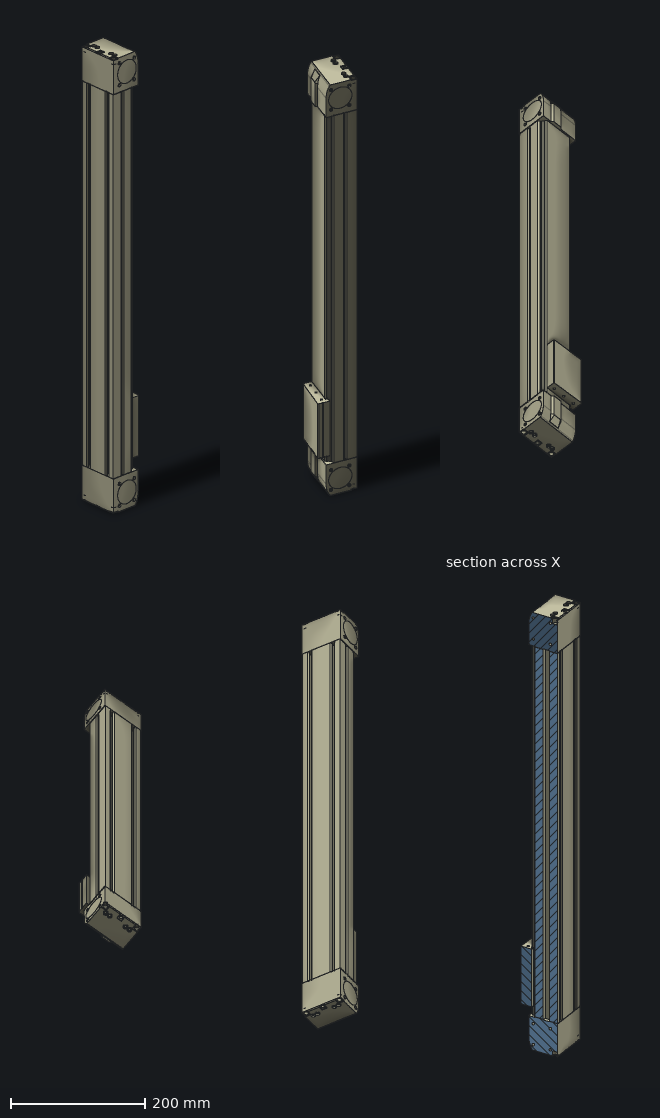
import cadquery as cq

LENGTH = 746.0
FRONT_Y = -32.0

HEAD_WIDTH = 69.0
HEAD_LENGTH = 57.5
HEAD_BACK_Y = 19.0
HEAD_EDGE = 1.5
CROWN_END_Y = 13.5
CROWN_LENGTH = 22.5
CROWN_BULGE = 1.5
head_half = HEAD_WIDTH / 2
end_z = LENGTH / 2
head_inner_z = end_z - HEAD_LENGTH

PAD_X = 7.5
PAD_Y = 22.0
PAD_HALF_WIDTH = 10.5
PAD_SHOULDER_Z = 359.0
PAD_ROOT_DEPTH = 4.5
PAD_TAPER = 45.0

END_SCREW_X = (15.0, 22.5)
END_SCREW_Y = -19.0
END_HEAD_DIAMETER = 7.0
END_SCREW_DIAMETER = 4.1
NOTCH_LENGTH = 10.0
NOTCH_DEPTH = 1.5
CENTRE_NOTCH_WIDTH = 8.0
CORNER_NOTCH_WIDTH = 10.0
NOTCH_HOLE_DIAMETER = 5.0
HEAD_SINK_DEPTH = 3.0
SCREW_DEPTH = 9.0

COVER_DIAMETER = 38.0
COVER_THICKNESS = 4.0
COVER_Y = -4.5
COVER_FROM_END = 27.5
COVER_SCREW_DY = 15.0
COVER_SCREW_DZ = 18.0
COVER_HEAD_DIAMETER = 5.0
COVER_SCREW_DIAMETER = 3.2
cover_z = end_z - COVER_FROM_END

PROFILE_HALF_WIDTH = 33.5
PROFILE_TOP_Y = 16.5
RAIL_STEP = 2.0
RAIL_BASE_X = 30.5
RAIL_NECK_X = 28.0
RAIL_SIDE_X = 26.0
RAIL_TOP_X = 24.0
RAIL_STEPS = 4
rail_base_y = PROFILE_TOP_Y - RAIL_STEPS * RAIL_STEP

FRONT_SLOT_X = 20.0
FRONT_SLOT_MOUTH = 8.0
SIDE_SLOT_Y = -13.0
SIDE_SLOT_MOUTH = 6.0
SLOT_BEVEL = 2.0
SLOT_LIP = 3.0
SLOT_DEPTH = 8.0
SLOT_CAVITY_EXTRA = 2.0

CARRIAGE_LEFT_X = -34.0
CARRIAGE_RIGHT_X = 24.0
CARRIAGE_TOP_Y = 32.0
CARRIAGE_RIGHT_TOP_Y = 30.5
CARRIAGE_CORNER = 1.5
SKIRT_BOTTOM_Y = 13.0
CARRIAGE_LENGTH = 99.0
CARRIAGE_Z = -251.0
SIDE_GROOVE_Y = 24.0
SIDE_GROOVE_SIZE = 1.0
END_HOLE_PITCH = 20.0
END_HOLE_Y = 22.5
END_HOLE_DIAMETER = 3.2
END_HOLE_DEPTH = 7.5


def yz_prism(outline, x_min, x_max):
    """Extrude an outline of (y, z) points along X."""
    return cq.Workplane("YZ", origin=(x_min, 0, 0)).polyline(outline).close().extrude(x_max - x_min)



def slot_cutter(mouth):
    """T-slot that opens at x = 0 toward -X and goes into the material along +X."""
    half = mouth / 2
    neck = half - SLOT_BEVEL
    cavity = half + SLOT_CAVITY_EXTRA
    upper = [
        (0, half),
        (SLOT_BEVEL, neck),
        (SLOT_LIP, neck),
        (SLOT_LIP, cavity),
        (SLOT_DEPTH, cavity),
    ]
    lower = [(x, -y) for x, y in reversed(upper)]
    length = 2 * head_inner_z
    return cq.Workplane("XY").workplane(offset=-head_inner_z).polyline(upper + lower).close().extrude(length)


def make_profile():
    right = [
        (PROFILE_HALF_WIDTH, FRONT_Y),
        (PROFILE_HALF_WIDTH, rail_base_y - RAIL_STEP),
        (RAIL_BASE_X, rail_base_y),
        (RAIL_NECK_X, rail_base_y),
        (RAIL_NECK_X, rail_base_y + RAIL_STEP),
        (RAIL_SIDE_X, rail_base_y + 2 * RAIL_STEP),
        (RAIL_SIDE_X, rail_base_y + 3 * RAIL_STEP),
        (RAIL_TOP_X, PROFILE_TOP_Y),
    ]
    left = [(-x, y) for x, y in reversed(right)]
    body = cq.Workplane("XY").workplane(offset=-head_inner_z).polyline(right + left).close()
    body = body.extrude(2 * head_inner_z)

    front_slot = slot_cutter(FRONT_SLOT_MOUTH).rotate((0, 0, 0), (0, 0, 1), 90)
    side_slot = slot_cutter(SIDE_SLOT_MOUTH).translate((-PROFILE_HALF_WIDTH, SIDE_SLOT_Y, 0))
    for x in (-FRONT_SLOT_X, FRONT_SLOT_X):
        body = body.cut(front_slot.translate((x, FRONT_Y, 0)))
    return body.cut(side_slot).cut(side_slot.mirror("YZ"))



def head_block():
    """Block whose back curves in toward the end face."""
    crown_start = (HEAD_BACK_Y, end_z - CROWN_LENGTH)
    crown_end = (CROWN_END_Y, end_z - HEAD_EDGE)
    crown_middle = (
        (crown_start[0] + crown_end[0]) / 2 + CROWN_BULGE,
        (crown_start[1] + crown_end[1]) / 2,
    )
    return (
        cq.Workplane("YZ", origin=(-head_half, 0, 0))
        .moveTo(FRONT_Y, head_inner_z)
        .lineTo(HEAD_BACK_Y, head_inner_z)
        .lineTo(*crown_start)
        .threePointArc(crown_middle, crown_end)
        .lineTo(CROWN_END_Y - HEAD_EDGE, end_z)
        .lineTo(FRONT_Y + HEAD_EDGE, end_z)
        .lineTo(FRONT_Y, end_z - HEAD_EDGE)
        .close()
        .extrude(HEAD_WIDTH)
    )


def head_pad():
    """Pad with bevelled sides that slopes down into the curved back."""
    root_y = HEAD_BACK_Y - PAD_ROOT_DEPTH
    root_half = PAD_HALF_WIDTH + PAD_ROOT_DEPTH
    tip_half = root_half / 2
    tip_z = PAD_SHOULDER_Z + root_half
    plan = [
        (PAD_X - root_half, 0),
        (PAD_X + root_half, 0),
        (PAD_X + root_half, PAD_SHOULDER_Z),
        (PAD_X + tip_half, tip_z),
        (PAD_X - tip_half, tip_z),
        (PAD_X - root_half, PAD_SHOULDER_Z),
    ]
    pad = cq.Workplane("XZ").polyline(plan).close().extrude(PAD_Y - root_y, taper=PAD_TAPER)
    pad = pad.mirror("XZ").translate((0, root_y, 0))
    side = [
        (root_y, head_inner_z),
        (PAD_Y, head_inner_z),
        (PAD_Y, PAD_SHOULDER_Z),
        (CROWN_END_Y, end_z - HEAD_EDGE),
        (root_y, end_z - HEAD_EDGE),
    ]
    return pad.intersect(yz_prism(side, -head_half, head_half))


def end_hole(x, y, diameter, depth):
    """Blind hole into the end face of the upper housing."""
    return cq.Workplane("XY", origin=(x, y, end_z - depth)).circle(diameter / 2).extrude(depth)


def cut_end_face(head):
    for side in (-1, 1):
        for x in END_SCREW_X:
            head = head.cut(end_hole(side * x, END_SCREW_Y, END_HEAD_DIAMETER, HEAD_SINK_DEPTH))
            head = head.cut(end_hole(side * x, END_SCREW_Y, END_SCREW_DIAMETER, SCREW_DEPTH))

    corner_x = head_half - CORNER_NOTCH_WIDTH / 2
    notch_y = FRONT_Y + NOTCH_LENGTH / 2
    notches = (
        (-corner_x, CORNER_NOTCH_WIDTH, END_HEAD_DIAMETER),
        (0, CENTRE_NOTCH_WIDTH, NOTCH_HOLE_DIAMETER),
        (corner_x, CORNER_NOTCH_WIDTH, END_HEAD_DIAMETER),
    )
    for x, width, hole_diameter in notches:
        notch = cq.Workplane("XY").box(width, NOTCH_LENGTH, 2 * NOTCH_DEPTH)
        head = head.cut(notch.translate((x, notch_y, end_z)))
        head = head.cut(end_hole(x, notch_y, hole_diameter, SCREW_DEPTH))
    return head


def side_disc(side, y, z, diameter, thickness):
    """Disc that lies just inside the -X (side = -1) or +X (side = 1) face of the upper housing."""
    disc = cq.Workplane("YZ", origin=(head_half - thickness, y, z)).circle(diameter / 2).extrude(thickness)
    return disc if side > 0 else disc.mirror("YZ")


def make_cover(side):
    return side_disc(side, COVER_Y, cover_z, COVER_DIAMETER, COVER_THICKNESS)


def cut_sides(head):
    for side in (-1, 1):
        head = head.cut(make_cover(side))
        for dy in (-COVER_SCREW_DY, COVER_SCREW_DY):
            for dz in (-COVER_SCREW_DZ, COVER_SCREW_DZ):
                y = COVER_Y + dy
                z = cover_z + dz
                head = head.cut(side_disc(side, y, z, COVER_HEAD_DIAMETER, HEAD_SINK_DEPTH))
                head = head.cut(side_disc(side, y, z, COVER_SCREW_DIAMETER, SCREW_DEPTH))
    return head


def make_head():
    head = head_block().union(head_pad())
    return cut_sides(cut_end_face(head))



def make_carriage():
    outline = [
        (CARRIAGE_LEFT_X, SKIRT_BOTTOM_Y),
        (CARRIAGE_LEFT_X, SIDE_GROOVE_Y - SIDE_GROOVE_SIZE),
        (CARRIAGE_LEFT_X + SIDE_GROOVE_SIZE, SIDE_GROOVE_Y),
        (CARRIAGE_LEFT_X, SIDE_GROOVE_Y + SIDE_GROOVE_SIZE),
        (CARRIAGE_LEFT_X, CARRIAGE_TOP_Y - CARRIAGE_CORNER),
        (CARRIAGE_LEFT_X + CARRIAGE_CORNER, CARRIAGE_TOP_Y),
        (CARRIAGE_RIGHT_X - CARRIAGE_CORNER, CARRIAGE_RIGHT_TOP_Y),
        (CARRIAGE_RIGHT_X, CARRIAGE_RIGHT_TOP_Y - CARRIAGE_CORNER),
        (CARRIAGE_RIGHT_X, PROFILE_TOP_Y),
        (-RAIL_SIDE_X, PROFILE_TOP_Y),
        (-RAIL_SIDE_X, SKIRT_BOTTOM_Y),
    ]
    bottom_z = CARRIAGE_Z - CARRIAGE_LENGTH / 2
    top_z = CARRIAGE_Z + CARRIAGE_LENGTH / 2
    carriage = cq.Workplane("XY").workplane(offset=bottom_z).polyline(outline).close()
    carriage = carriage.extrude(CARRIAGE_LENGTH)

    middle_x = (CARRIAGE_LEFT_X + CARRIAGE_RIGHT_X) / 2
    for x in (middle_x - END_HOLE_PITCH, middle_x, middle_x + END_HOLE_PITCH):
        for hole_z in (bottom_z, top_z - END_HOLE_DEPTH):
            hole = cq.Workplane("XY", origin=(x, END_HOLE_Y, hole_z)).circle(END_HOLE_DIAMETER / 2)
            carriage = carriage.cut(hole.extrude(END_HOLE_DEPTH))
    return carriage



profile = make_profile()
carriage = make_carriage()
upper_head = make_head()
heads = [upper_head, upper_head.mirror("XY")]

covers = []
for side in (-1, 1):
    upper_cover = make_cover(side)
    covers += [upper_cover, upper_cover.mirror("XY")]

result = cq.Compound.makeCompound(
    [
        profile.val(),
        carriage.val(),
        *[head.val() for head in heads],
        *[cover.val() for cover in covers],
    ]
)